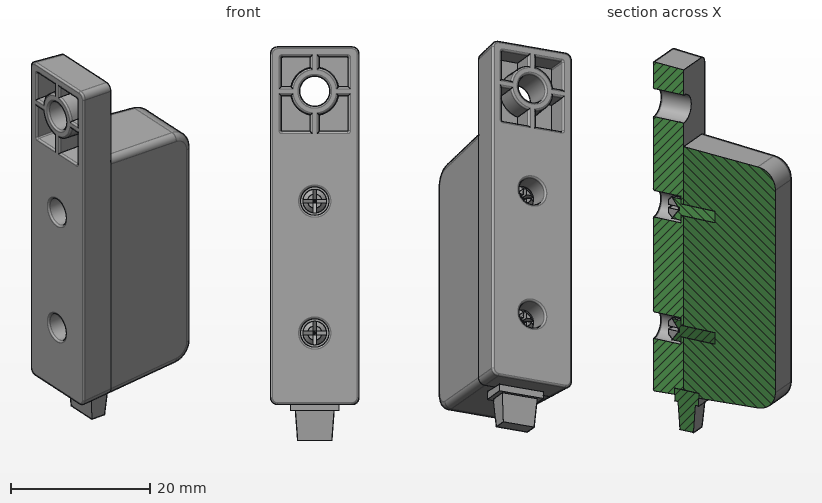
import cadquery as cq
import math


WIDTH = 12.75
PLATE_HEIGHT = 51.5
PLATE_DEPTH = 5.1
TOTAL_DEPTH = 20.2
DRAFT = 3.0
EDGE_RADIUS = 1.0
RIM_RADIUS = 0.3

HOUSING_TOP = 39.25
BACK_RADIUS = 3.05

MOUNT_Z = 45.1
MOUNT_RADIUS = 2.15
BOSS_RADIUS = 3.1
POCKET_FIELD_WIDTH = 10.3
POCKET_FIELD_BOTTOM = 38.95
POCKET_FIELD_TOP = 50.35
POCKET_DEPTH = 3.4
POCKET_CORNER_RADIUS = 0.15
POCKET_DRAFT = 1.5
RIB_WIDTH = 0.6

SCREW_HEIGHTS = (10.3, 29.3)
COUNTERBORE_RADIUS = 2.05
COUNTERBORE_DEPTH = 4.55
HEAD_RADIUS = 1.7
HEAD_FLAT_RADIUS = 1.0
HEAD_HEIGHT = 2.15
CONE_HEIGHT = 0.7
CROSS_WIDTH = 0.5
CROSS_DEPTH = 1.25
SHANK_RADIUS = 0.85
SHANK_END = 10.2

GROMMET_Y = 5.55
COLLAR_WIDTH = 7.0
COLLAR_THICKNESS = 3.95
COLLAR_BOTTOM = -0.85
COLLAR_TOP = 1.15
TAIL_WIDTH = 5.6
TAIL_THICKNESS = 2.95
TAIL_LENGTH = 4.3
TAIL_TAPER = 4.3

DRAFT_SLOPE = math.tan(math.radians(DRAFT))
RIM_GROWTH = RIM_RADIUS * DRAFT_SLOPE


def plane_at(depth, z):
    """Workplane facing the back at the given depth, with its second axis along Z."""
    return cq.Workplane(cq.Plane((0, depth, z), (-1, 0, 0), (0, 1, 0)))


def drafted_block(start, end, width, bottom, top):
    """Block from depth start to end; its outline is given at start and narrows by the draft."""
    outline = plane_at(start, (bottom + top) / 2).rect(width, top - bottom)
    return outline.extrude(end - start, taper=DRAFT)


def cylinder(radius, start, end, z):
    """Cylinder along Y from depth start to end."""
    return plane_at(start, z).circle(radius).extrude(end - start)


def grommet_collar():
    """Rectangular collar of the grommet, also the cutter for its seat."""
    outline = cq.Workplane("XY", origin=(0, GROMMET_Y, COLLAR_BOTTOM)).rect(COLLAR_WIDTH, COLLAR_THICKNESS)
    return outline.extrude(COLLAR_TOP - COLLAR_BOTTOM)


def pocket_cutter():
    """Four pockets around the mounting boss, parted by a cross of ribs, without their rounded rims."""
    width = POCKET_FIELD_WIDTH - 2 * RIM_RADIUS
    height = POCKET_FIELD_TOP - POCKET_FIELD_BOTTOM - 2 * RIM_RADIUS
    middle = (POCKET_FIELD_TOP + POCKET_FIELD_BOTTOM) / 2
    field = plane_at(0, middle).rect(width, height).extrude(POCKET_DEPTH, taper=POCKET_DRAFT)
    field = field.edges("not(|X or |Z)").fillet(POCKET_CORNER_RADIUS)

    rib_root = RIB_WIDTH + 2 * RIM_RADIUS
    upright_rib = plane_at(0, MOUNT_Z).rect(rib_root, PLATE_HEIGHT).extrude(POCKET_DEPTH, taper=-POCKET_DRAFT)
    level_rib = plane_at(0, MOUNT_Z).rect(WIDTH, rib_root).extrude(POCKET_DEPTH, taper=-POCKET_DRAFT)
    boss_outline = plane_at(0, MOUNT_Z).circle(BOSS_RADIUS + RIM_RADIUS)
    boss = boss_outline.extrude(POCKET_DEPTH, taper=-POCKET_DRAFT)
    return field.cut(upright_rib).cut(level_rib).cut(boss)


def make_plate():
    """Drafted plate with mounting hole, pockets and counterbored screw holes."""
    plate = drafted_block(0, PLATE_DEPTH, WIDTH + 2 * RIM_GROWTH, -RIM_GROWTH, PLATE_HEIGHT + RIM_GROWTH)
    side_edges = plate.edges("not(|X or |Z)")
    plate = side_edges.fillet(EDGE_RADIUS)
    plate = plate.cut(pocket_cutter())
    plate = plate.cut(cylinder(MOUNT_RADIUS, 0, PLATE_DEPTH, MOUNT_Z))
    for z in SCREW_HEIGHTS:
        plate = plate.cut(cylinder(COUNTERBORE_RADIUS, 0, COUNTERBORE_DEPTH, z))
        plate = plate.cut(cylinder(SHANK_RADIUS, COUNTERBORE_DEPTH, PLATE_DEPTH, z))
    plate = plate.faces("<Y").edges().fillet(RIM_RADIUS)
    return plate.cut(grommet_collar())


def make_housing():
    """Drafted block behind the plate, rounded towards the back, with blind screw holes."""
    narrowing = (PLATE_DEPTH - RIM_RADIUS) * DRAFT_SLOPE
    housing = drafted_block(PLATE_DEPTH, TOTAL_DEPTH, WIDTH - 2 * narrowing, narrowing, HOUSING_TOP)
    housing = housing.faces(">Y").edges("|X").fillet(BACK_RADIUS)
    housing = housing.faces("<X or >X").edges("not(<Y)").fillet(EDGE_RADIUS)
    for z in SCREW_HEIGHTS:
        housing = housing.cut(cylinder(SHANK_RADIUS, PLATE_DEPTH, SHANK_END, z))
    return housing.cut(grommet_collar())


def cross_groove(head_front, cone_base, z):
    """One groove of the cross recess; its floor slopes from the foot of the cone to the middle."""
    section = [
        (-HEAD_RADIUS, head_front),
        (HEAD_RADIUS, head_front),
        (HEAD_RADIUS, cone_base),
        (0, cone_base + CROSS_DEPTH),
        (-HEAD_RADIUS, cone_base),
    ]
    outline = cq.Workplane("XY", origin=(0, 0, z - CROSS_WIDTH / 2)).polyline(section).close()
    return outline.extrude(CROSS_WIDTH)


def make_screw(z):
    """Screw along Y with a cone-topped head and a cross recess."""
    head_front = COUNTERBORE_DEPTH - HEAD_HEIGHT
    cone_base = head_front + CONE_HEIGHT
    cone = cq.Solid.makeCone(
        HEAD_FLAT_RADIUS, HEAD_RADIUS, CONE_HEIGHT, cq.Vector(0, head_front, z), cq.Vector(0, 1, 0)
    )
    screw = cylinder(HEAD_RADIUS, cone_base, COUNTERBORE_DEPTH, z).union(cq.Workplane(cone))
    screw = screw.union(cylinder(SHANK_RADIUS, COUNTERBORE_DEPTH, SHANK_END, z))
    groove = cross_groove(head_front, cone_base, z)
    return screw.cut(groove).cut(groove.rotate((0, 0, z), (0, 1, z), 90))


def make_grommet():
    """Collar with a tapered tail pointing down."""
    outline = cq.Workplane("XY", origin=(0, GROMMET_Y, COLLAR_BOTTOM)).rect(TAIL_WIDTH, TAIL_THICKNESS)
    return grommet_collar().union(outline.extrude(-TAIL_LENGTH, taper=TAIL_TAPER))


plate = make_plate()
housing = make_housing()
screws = [make_screw(z) for z in SCREW_HEIGHTS]
grommet = make_grommet()

result = cq.Compound.makeCompound(
    [plate.val(), housing.val(), *[screw.val() for screw in screws], grommet.val()]
)